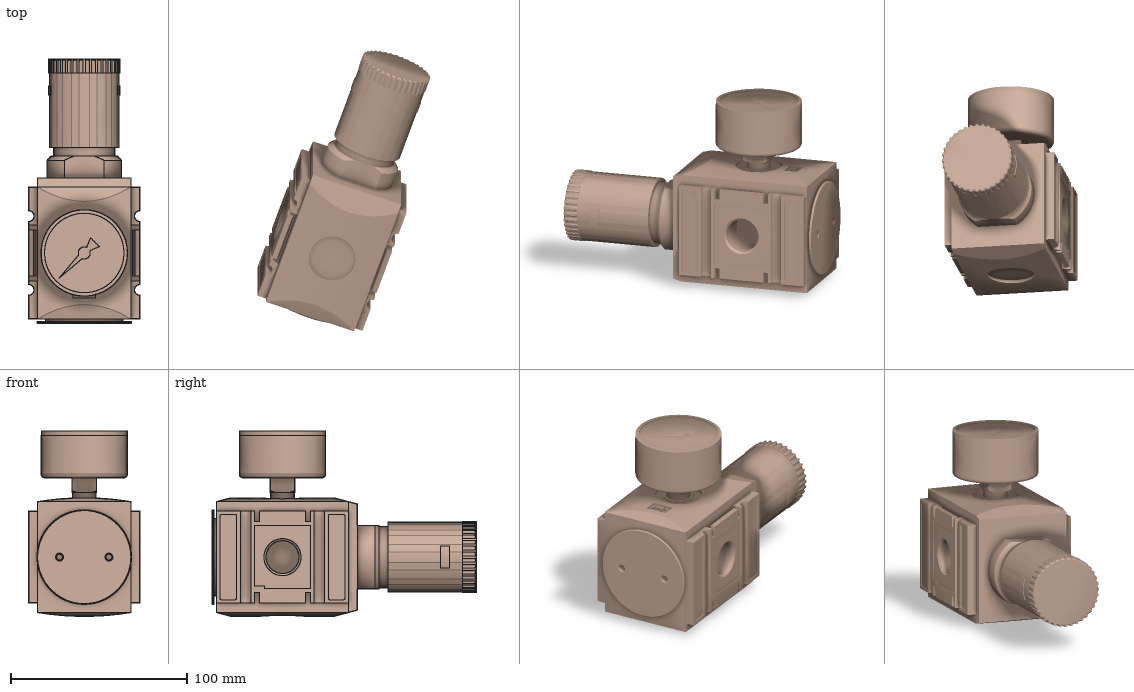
import cadquery as cq
import math


HOUSING_WIDTH = 53.0
HOUSING_LENGTH = 75.0
CROWN_HEIGHT = 33.6
CROWN_RADIUS = 160.0
END_SLOPE = 15.0
BODY_X = HOUSING_WIDTH / 2
BODY_Y = HOUSING_LENGTH / 2
EDGE_HEIGHT = CROWN_HEIGHT - CROWN_RADIUS + math.sqrt(CROWN_RADIUS**2 - BODY_X**2)

OVERALL_WIDTH = 63.0
PAD_THICKNESS = (OVERALL_WIDTH - HOUSING_WIDTH) / 2
PAD_X = OVERALL_WIDTH / 2
PAD_HEIGHT = 52.0
PAD_SETBACK = 0.2
PAD_LENGTH = HOUSING_LENGTH - 2 * PAD_SETBACK
GROOVE_RADIUS = 3.0
GROOVE_Y = 20.9
SLOT_WIDTH = 2.8
SLOT_OUTER_Y = 15.9
SLOT_DEPTH = 5.9
CLIP_LIP_TOP = 2.8
CLIP_LIP_BOTTOM = 4.3
LABEL_LENGTH = 9.4
LABEL_HEIGHT = 48.4
LABEL_Y = 30.7
LABEL_DEPTH = 0.6
LABEL_CORNER = 1.0
PANEL_LENGTH = 2 * SLOT_OUTER_Y
PANEL_HEIGHT = 35.7
PANEL_DEPTH = 0.3
PANEL_KEY_LENGTH = 5.6
PANEL_KEY_HEIGHT = 1.6
PORT_DIAMETER = 18.6
PORT_MOUTH_DIAMETER = 21.0
PORT_DEPTH = 20.0

SPOT_FACE_DIAMETER = 26.4
SPOT_FACE_HEIGHT = 31.8
ARROW_POCKET_X = 12.6
ARROW_POCKET_Y = 8.2
ARROW_POCKET_CENTER_Y = -21.3
ARROW_POCKET_DEPTH = 1.0
ARROW_DEPTH = 0.6
ARROW_LENGTH = 9.0
ARROW_HEAD_LENGTH = 3.4
ARROW_HEAD_WIDTH = 6.8
ARROW_SHAFT_WIDTH = 3.0

CAP_FRONT_Y = -40.0
CAP_RADIUS = 26.8
CAP_THICKNESS = 0.8
CAP_LIP_WIDTH = 0.6
CAP_LIP_DEPTH = 0.3
CAP_CHAMFER = 0.4
CAP_NECK_RADIUS = 22.0
SPANNER_HOLE_X = 14.0
SPANNER_HOLE_DIAMETER = 3.4
SPANNER_MOUTH_DIAMETER = 4.4
SPANNER_HOLE_DEPTH = 2.0

BONNET_PLATE_THICKNESS = 5.0
PLATE_END_Y = BODY_Y + BONNET_PLATE_THICKNESS
NUT_RADIUS = 21.2
NUT_ACROSS_FLATS = 36.0
NUT_END_Y = 54.8
NUT_CHAMFER = 2.3
NECK_RADIUS = 17.4
KNOB_START_Y = 59.7
KNOB_END_Y = 110.0
GRIP_RADIUS = 19.8
FLAT_COUNT = 12
FLAT_ANGLE = 12.8
RING_LENGTH = 7.9
RING_RADIUS = 20.15
RING_BEVEL = 1.2
RIDGE_COUNT = 36
RIDGE_ANGLE = 3.8
FLUTE_DEPTH = 0.6
MARKER_START_Y = 89.4
MARKER_LENGTH = 5.2
MARKER_HEIGHT = 12.4
MARKER_RADIUS = RING_RADIUS

OVERALL_HEIGHT = 105.06
GAUGE_TOP = OVERALL_HEIGHT - CROWN_HEIGHT
GAUGE_BOTTOM = 44.9
GAUGE_RADIUS = 24.5
BEZEL_RADIUS = 24.4
BEZEL_HEIGHT = 2.6
GAUGE_FILLET = 2.2
DIAL_RADIUS = 22.5
DIAL_DEPTH = 0.5
STEM_SQUARE = 14.0
STEM_SQUARE_BOTTOM = 36.7
STEM_CORNER_RADIUS = 8.3
STEM_CORNER_TAPER = 60.0
STEM_RADIUS = 6.7
COLLAR_SIDES = 8
COLLAR_ACROSS_FLATS = 16.6
COLLAR_HEIGHT = 0.8
POINTER_HUB_RADIUS = 3.4
POINTER_LENGTH = 20.2
POINTER_BASE_WIDTH = 3.4
POINTER_TAIL_LENGTH = 8.6
POINTER_TAIL_WIDTH = 7.0
POINTER_THICKNESS = 0.2
POINTER_ANGLE = -135.0


def cylinder_y(radius, y_start, y_end):
    """Cylinder about the Y axis between two Y positions."""
    return cq.Workplane("XZ", origin=(0, y_start, 0)).circle(radius).extrude(y_start - y_end)


def cylinder_z(radius, z_start, z_end):
    """Cylinder about the Z axis between two Z positions."""
    return cq.Workplane("XY", origin=(0, 0, z_start)).circle(radius).extrude(z_end - z_start)


def box_between(x, y, z):
    """Box given by its (low, high) pairs along X, Y and Z."""
    lows, highs = zip(x, y, z)
    size = [high - low for low, high in zip(lows, highs)]
    return cq.Workplane("XY").box(*size, centered=False).translate(lows)


def crowned_block(y_start, y_end):
    """Flat-sided block with arched top and bottom that slope down towards the ends."""
    arched = (
        cq.Workplane("XZ", origin=(0, y_start, 0))
        .moveTo(-BODY_X, -EDGE_HEIGHT)
        .lineTo(-BODY_X, EDGE_HEIGHT)
        .threePointArc((0, CROWN_HEIGHT), (BODY_X, EDGE_HEIGHT))
        .lineTo(BODY_X, -EDGE_HEIGHT)
        .threePointArc((0, -CROWN_HEIGHT), (-BODY_X, -EDGE_HEIGHT))
        .close()
        .extrude(y_start - y_end)
    )
    slope = math.tan(math.radians(END_SLOPE))
    ridge_y = BODY_Y - (CROWN_HEIGHT - EDGE_HEIGHT) / slope
    end_height = EDGE_HEIGHT - BONNET_PLATE_THICKNESS * slope
    envelope = (
        cq.Workplane("YZ")
        .polyline([
            (PLATE_END_Y, end_height),
            (ridge_y, CROWN_HEIGHT),
            (-ridge_y, CROWN_HEIGHT),
            (-PLATE_END_Y, end_height),
            (-PLATE_END_Y, -end_height),
            (-ridge_y, -CROWN_HEIGHT),
            (ridge_y, -CROWN_HEIGHT),
            (PLATE_END_Y, -end_height),
        ])
        .close()
        .extrude(BODY_X, both=True)
    )
    return arched.intersect(envelope)


def clip_pocket():
    """Slanted pocket behind the upper edge of the -X pad, with a slot at each end."""
    top = PAD_HEIGHT / 2
    floor = top - SLOT_DEPTH
    inner_y = SLOT_OUTER_Y - SLOT_WIDTH
    pocket = (
        cq.Workplane("XZ", origin=(0, inner_y, 0))
        .polyline([
            (-BODY_X, floor),
            (-PAD_X + CLIP_LIP_BOTTOM, floor),
            (-PAD_X + CLIP_LIP_TOP, top),
            (-BODY_X, top),
        ])
        .close()
        .extrude(2 * inner_y)
    )
    for low_y in (-SLOT_OUTER_Y, inner_y):
        pocket = pocket.union(box_between((-PAD_X, -BODY_X), (low_y, low_y + SLOT_WIDTH), (floor, top)))
    return pocket


def port_panel():
    """Shallow square recess around the port; one lower corner is stepped."""
    panel = cq.Workplane("YZ", origin=(-PAD_X, 0, 0)).rect(PANEL_LENGTH, PANEL_HEIGHT).extrude(PANEL_DEPTH)
    key = box_between(
        (-PAD_X, -PAD_X + PANEL_DEPTH),
        (-PANEL_LENGTH / 2, -PANEL_LENGTH / 2 + PANEL_KEY_LENGTH),
        (-PANEL_HEIGHT / 2, -PANEL_HEIGHT / 2 + PANEL_KEY_HEIGHT),
    )
    return panel.cut(key)


def side_pad():
    """Clamping pad on the -X side."""
    pad = cq.Workplane("YZ", origin=(-PAD_X, 0, 0)).rect(PAD_LENGTH, PAD_HEIGHT).extrude(PAD_THICKNESS)
    grooves = (
        cq.Workplane("XY", origin=(-PAD_X, 0, 0))
        .pushPoints([(0, GROOVE_Y), (0, -GROOVE_Y)])
        .circle(GROOVE_RADIUS)
        .extrude(PAD_HEIGHT, both=True)
    )
    labels = (
        cq.Workplane("YZ", origin=(-PAD_X, 0, 0))
        .pushPoints([(LABEL_Y, 0), (-LABEL_Y, 0)])
        .rect(LABEL_LENGTH, LABEL_HEIGHT)
        .extrude(LABEL_DEPTH)
        .edges("|X")
        .fillet(LABEL_CORNER)
    )
    pocket = clip_pocket()
    return pad.cut(grooves).cut(labels).cut(port_panel()).cut(pocket).cut(pocket.mirror("XY"))


def port():
    """Blind port with a countersunk mouth, entering from -X."""
    floor_x = -PAD_X + PORT_DEPTH
    panel_x = -PAD_X + PANEL_DEPTH
    radius = PORT_DIAMETER / 2
    mouth_radius = PORT_MOUTH_DIAMETER / 2
    return (
        cq.Workplane("XY")
        .polyline([
            (-PAD_X, 0),
            (-PAD_X, mouth_radius),
            (panel_x, mouth_radius),
            (panel_x + mouth_radius - radius, radius),
            (floor_x, radius),
            (floor_x, 0),
        ])
        .close()
        .revolve(360, (0, 0, 0), (1, 0, 0))
    )


def flow_arrow_pocket():
    """Rectangular recess in the crown with an arrow sunk into its floor, pointing to +X."""
    floor = CROWN_HEIGHT - ARROW_POCKET_DEPTH
    plane = cq.Workplane("XY", origin=(0, ARROW_POCKET_CENTER_Y, floor))
    pocket = plane.rect(ARROW_POCKET_X, ARROW_POCKET_Y).extrude(ARROW_POCKET_DEPTH)
    tip_x = ARROW_LENGTH / 2
    head_x = tip_x - ARROW_HEAD_LENGTH
    arrow = (
        plane.polyline([
            (tip_x, 0),
            (head_x, ARROW_HEAD_WIDTH / 2),
            (head_x, ARROW_SHAFT_WIDTH / 2),
            (-tip_x, ARROW_SHAFT_WIDTH / 2),
            (-tip_x, -ARROW_SHAFT_WIDTH / 2),
            (head_x, -ARROW_SHAFT_WIDTH / 2),
            (head_x, -ARROW_HEAD_WIDTH / 2),
        ])
        .close()
        .extrude(-ARROW_DEPTH)
    )
    return pocket.union(arrow)


def end_cap():
    """Round cap on a short neck, with a rim turned back at its edge and two spanner holes."""
    back_y = CAP_FRONT_Y + CAP_THICKNESS
    rim = cylinder_y(CAP_RADIUS, CAP_FRONT_Y, back_y + CAP_LIP_DEPTH).faces("<Y").edges().chamfer(CAP_CHAMFER)
    dish = cylinder_y(CAP_RADIUS - CAP_LIP_WIDTH, back_y, -BODY_Y)
    cap = rim.cut(dish).union(cylinder_y(CAP_NECK_RADIUS, CAP_FRONT_Y + CAP_CHAMFER, -BODY_Y))
    countersink_depth = (SPANNER_MOUTH_DIAMETER - SPANNER_HOLE_DIAMETER) / 2
    for x in (-SPANNER_HOLE_X, SPANNER_HOLE_X):
        hole = cylinder_y(SPANNER_HOLE_DIAMETER / 2, CAP_FRONT_Y, CAP_FRONT_Y + SPANNER_HOLE_DEPTH)
        mouth = (
            cq.Workplane("XZ", origin=(0, CAP_FRONT_Y, 0))
            .circle(SPANNER_MOUTH_DIAMETER / 2)
            .extrude(-countersink_depth, taper=45)
        )
        cap = cap.cut(hole.union(mouth).translate((x, 0, 0)))
    return cap


def make_housing():
    """Housing block with its end cap, side pads, ports, spot faces and flow arrow."""
    housing = crowned_block(-BODY_Y, BODY_Y).union(end_cap())
    pad = side_pad()
    port_cut = port()
    housing = housing.union(pad).union(pad.mirror("YZ"))
    housing = housing.cut(port_cut).cut(port_cut.mirror("YZ"))
    spot_face = cylinder_z(SPOT_FACE_DIAMETER / 2, SPOT_FACE_HEIGHT, CROWN_HEIGHT)
    housing = housing.cut(spot_face).cut(spot_face.mirror("XY"))
    return housing.cut(flow_arrow_pocket())


def make_nut():
    """Chamfered round nut with two flats facing up and down."""
    nut = cylinder_y(NUT_RADIUS, PLATE_END_Y, NUT_END_Y).faces(">Y").edges().chamfer(NUT_CHAMFER)
    flats = box_between(
        (-NUT_RADIUS, NUT_RADIUS),
        (PLATE_END_Y, NUT_END_Y),
        (-NUT_ACROSS_FLATS / 2, NUT_ACROSS_FLATS / 2),
    )
    return nut.intersect(flats)


def around_y(radius, angle):
    """Point of the X-Z plane at a radius and an angle in degrees from +X."""
    return (radius * math.cos(math.radians(angle)), radius * math.sin(math.radians(angle)))


def make_fluted_ring(ring_start_y):
    """Grip ring with hollow flutes between ridges; only the flutes have a bevelled end."""
    pitch = 360 / RIDGE_COUNT
    half_ridge = RIDGE_ANGLE / 2
    profile = cq.Workplane("XZ", origin=(0, ring_start_y, 0)).moveTo(*around_y(RING_RADIUS, -half_ridge))
    for index in range(RIDGE_COUNT):
        middle = index * pitch
        profile = profile.threePointArc(
            around_y(RING_RADIUS, middle), around_y(RING_RADIUS, middle + half_ridge)
        ).threePointArc(
            around_y(RING_RADIUS - FLUTE_DEPTH, middle + pitch / 2),
            around_y(RING_RADIUS, middle + pitch - half_ridge),
        )
    ring = profile.close().extrude(-RING_LENGTH)
    flute_angle = pitch - RIDGE_ANGLE
    bevel = (
        cq.Workplane("XY")
        .moveTo(RING_RADIUS - 2 * RING_BEVEL, KNOB_END_Y + RING_BEVEL)
        .lineTo(RING_RADIUS + RING_BEVEL, KNOB_END_Y + RING_BEVEL)
        .lineTo(RING_RADIUS + RING_BEVEL, KNOB_END_Y - 2 * RING_BEVEL)
        .close()
        .revolve(flute_angle, (0, 0, 0), (0, 1, 0))
    )
    first_bevel_angle = (pitch - flute_angle) / 2
    for index in range(RIDGE_COUNT):
        ring = ring.cut(bevel.rotate((0, 0, 0), (0, 1, 0), first_bevel_angle + index * pitch))
    return ring


def make_grip(end_y):
    """Knob sleeve with evenly spaced narrow flats along its length."""
    pitch = 360 / FLAT_COUNT
    half_round = (pitch - FLAT_ANGLE) / 2
    profile = cq.Workplane("XZ", origin=(0, KNOB_START_Y, 0)).moveTo(*around_y(GRIP_RADIUS, -half_round))
    for index in range(FLAT_COUNT):
        middle = index * pitch
        profile = profile.threePointArc(
            around_y(GRIP_RADIUS, middle), around_y(GRIP_RADIUS, middle + half_round)
        ).lineTo(*around_y(GRIP_RADIUS, middle + pitch - half_round))
    return profile.close().extrude(KNOB_START_Y - end_y)


def make_knob():
    """Adjusting knob: sleeve, fluted end ring and a raised marker on each side."""
    ring_start_y = KNOB_END_Y - RING_LENGTH
    grip = make_grip(ring_start_y)
    markers = cylinder_y(MARKER_RADIUS, MARKER_START_Y, MARKER_START_Y + MARKER_LENGTH).intersect(
        cq.Workplane("XY").box(2 * MARKER_RADIUS, 2 * KNOB_END_Y, MARKER_HEIGHT)
    )
    return grip.union(make_fluted_ring(ring_start_y)).union(markers)


def make_setting_unit():
    """Bonnet plate, nut, neck and adjusting knob as one body."""
    plate = crowned_block(BODY_Y, PLATE_END_Y)
    neck = cylinder_y(NECK_RADIUS, NUT_END_Y, KNOB_START_Y)
    return plate.union(make_nut()).union(neck).union(make_knob())


def make_pointer():
    """Raised pointer on the dial: tapered needle, round hub and flared tail."""
    level = GAUGE_TOP - DIAL_DEPTH
    plane = cq.Workplane("XY", origin=(0, 0, level))
    hub = plane.circle(POINTER_HUB_RADIUS).extrude(POINTER_THICKNESS)
    needle = (
        plane.polyline([(0, POINTER_BASE_WIDTH / 2), (POINTER_LENGTH, 0), (0, -POINTER_BASE_WIDTH / 2)])
        .close()
        .extrude(POINTER_THICKNESS)
    )
    tail = (
        plane.polyline([
            (0, 0),
            (-POINTER_TAIL_LENGTH, POINTER_TAIL_WIDTH / 2),
            (-POINTER_TAIL_LENGTH, -POINTER_TAIL_WIDTH / 2),
        ])
        .close()
        .extrude(POINTER_THICKNESS)
    )
    return hub.union(needle).union(tail).rotate((0, 0, 0), (0, 0, 1), POINTER_ANGLE)


def make_gauge():
    """Pressure gauge: case, bezel, dial with pointer, square stem and collar."""
    bezel_z = GAUGE_TOP - BEZEL_HEIGHT
    case = cylinder_z(GAUGE_RADIUS, GAUGE_BOTTOM, bezel_z).faces("<Z").edges().fillet(GAUGE_FILLET)
    bezel = cylinder_z(BEZEL_RADIUS, bezel_z, GAUGE_TOP)
    dial = cylinder_z(DIAL_RADIUS, GAUGE_TOP - DIAL_DEPTH, GAUGE_TOP)
    square_height = GAUGE_BOTTOM - STEM_SQUARE_BOTTOM
    square = (
        cq.Workplane("XY", origin=(0, 0, STEM_SQUARE_BOTTOM))
        .rect(STEM_SQUARE, STEM_SQUARE)
        .extrude(square_height)
    )
    corner_cone = (
        cq.Workplane("XY", origin=(0, 0, STEM_SQUARE_BOTTOM))
        .circle(STEM_CORNER_RADIUS)
        .extrude(square_height, taper=-STEM_CORNER_TAPER)
    )
    stem = square.intersect(corner_cone).union(cylinder_z(STEM_RADIUS, SPOT_FACE_HEIGHT, STEM_SQUARE_BOTTOM))
    collar = (
        cq.Workplane("XY", origin=(0, 0, SPOT_FACE_HEIGHT))
        .polygon(COLLAR_SIDES, COLLAR_ACROSS_FLATS, circumscribed=True)
        .extrude(COLLAR_HEIGHT)
        .rotate((0, 0, 0), (0, 0, 1), 180 / COLLAR_SIDES)
    )
    return case.union(bezel).cut(dial).union(make_pointer()).union(stem).union(collar)


housing = make_housing()
setting_unit = make_setting_unit()
gauge = make_gauge()

result = cq.Compound.makeCompound([housing.val(), setting_unit.val(), gauge.val()])